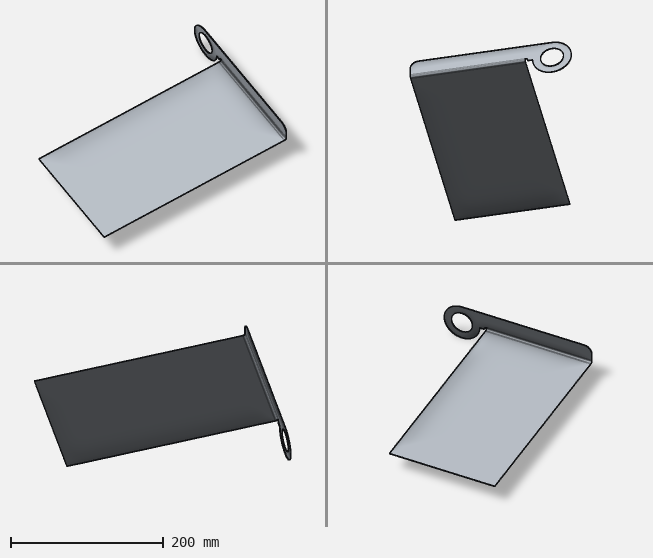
import cadquery as cq

thickness = 1.15
inner_bend_radius = 2.5
outer_bend_radius = inner_bend_radius + thickness

eye_radius = 26.0
eye_hole_diameter = 30.6

total_length = 216.0
total_depth = 288.0
right_end = total_length - eye_radius
flange_top = eye_radius
flange_corner_radius = 11.5

plate_length = 154.0
plate_left = right_end - plate_length
plate_bottom = 0.0
bend_top = plate_bottom + outer_bend_radius

notch_width = 3.0
notch_end_radius = notch_width / 2
notch_left = plate_left - notch_width
notch_centre_z = bend_top - notch_end_radius
notch_mouth_radius = 1.5


def make_flange():
    """Upright flange with its eye; the back face lies on Y = 0."""
    bar = (
        cq.Workplane("XZ")
        .moveTo(0, flange_top)
        .lineTo(right_end - flange_corner_radius, flange_top)
        .radiusArc((right_end, flange_top - flange_corner_radius), flange_corner_radius)
        .lineTo(right_end, bend_top)
        .lineTo(plate_left, bend_top)
        .lineTo(plate_left, notch_centre_z)
        .radiusArc((notch_left, notch_centre_z), -notch_end_radius)
        .lineTo(notch_left, plate_bottom + notch_mouth_radius)
        .radiusArc((notch_left - notch_mouth_radius, plate_bottom), notch_mouth_radius)
        .lineTo(0, plate_bottom)
        .close()
        .extrude(thickness)
    )
    eye = cq.Workplane("XZ").circle(eye_radius).extrude(thickness)
    eye_hole = cq.Workplane("XZ").circle(eye_hole_diameter / 2).extrude(thickness)
    return bar.union(eye).cut(eye_hole)


def make_bent_plate():
    """Horizontal plate with the bend that turns it up into the flange."""
    plate_top = plate_bottom + thickness
    return (
        cq.Workplane("YZ", origin=(plate_left, 0, 0))
        .moveTo(0, bend_top)
        .radiusArc((-outer_bend_radius, plate_bottom), outer_bend_radius)
        .lineTo(-total_depth, plate_bottom)
        .lineTo(-total_depth, plate_top)
        .lineTo(-outer_bend_radius, plate_top)
        .radiusArc((-thickness, bend_top), -inner_bend_radius)
        .close()
        .extrude(plate_length)
    )


result = make_flange().union(make_bent_plate())